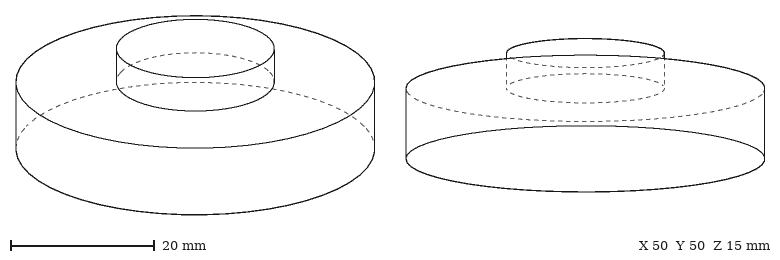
import cadquery as cq

disc_diameter = 50
disc_height = 10
boss_diameter = 22
boss_height = 5

disc = cq.Workplane("XY").circle(disc_diameter / 2).extrude(disc_height)

result = disc.faces(">Z").workplane().circle(boss_diameter / 2).extrude(boss_height)